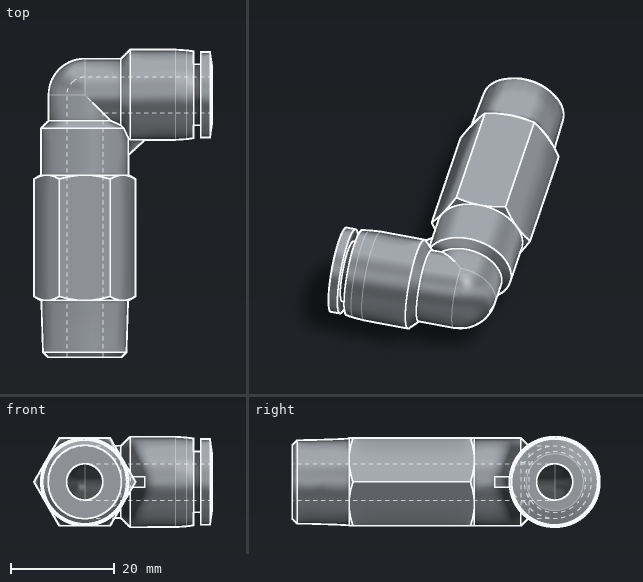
import cadquery as cq
import math


elbow_radius = 7.0
bore_radius = 3.5

stem_radius = 8.5
stem_step_start = 5.0
stem_step_end = stem_step_start + (stem_radius - elbow_radius)
hex_start = 15.5
hex_length = 24.2
hex_end = hex_start + hex_length
hex_across_flats = 17.0
hex_corner_radius = hex_across_flats / math.sqrt(3)
hex_chamfer_angle = math.radians(30)

thread_length = 11.0
thread_radius_taper = 1 / 32
thread_end = hex_end + thread_length
thread_large_radius = 8.4
thread_lead_length = 1.0
thread_taper_end = thread_end - thread_lead_length
thread_small_radius = thread_large_radius - (thread_taper_end - hex_end) * thread_radius_taper
thread_tip_radius = thread_small_radius - thread_lead_length

socket_radius = 8.75
socket_cone_start = elbow_radius
socket_cone_end = socket_cone_start + (socket_radius - elbow_radius)
socket_barrel_end = 17.5
socket_taper_end = 19.65
socket_taper_radius = 8.6
socket_end = 21.05
socket_end_radius = 8.4

neck_radius = 5.9
flange_start = 22.4
flange_radius = 8.3
flange_cone_start = 24.2
flange_end = 24.6
flange_face_radius = 5.5

gusset_thickness = 2.0
gusset_reach = 11.6
gusset_drop = 11.6


def revolve_about_y(profile):
    """Solid of revolution about Y from (radius, distance along -Y) points."""
    points = [(radius, -station) for radius, station in profile]
    return cq.Workplane("XY").polyline(points).close().revolve(360, (0, 0, 0), (0, 1, 0))


def revolve_about_x(profile):
    """Solid of revolution about X from (distance along +X, radius) points."""
    return cq.Workplane("XY").polyline(profile).close().revolve(360, (0, 0, 0), (1, 0, 0))


def make_elbow_ball():
    return cq.Workplane("XY").sphere(elbow_radius)


def make_stem():
    return revolve_about_y([
        (0, 0),
        (elbow_radius, 0),
        (elbow_radius, stem_step_start),
        (stem_radius, stem_step_end),
        (stem_radius, hex_end),
        (thread_large_radius, hex_end),
        (thread_small_radius, thread_taper_end),
        (thread_tip_radius, thread_end),
        (0, thread_end),
    ])


def make_hex():
    """Hexagon with corners on +X and -X, both ends turned down to the stem radius."""
    prism = (
        cq.Workplane("XZ", origin=(0, -hex_start, 0))
        .polygon(6, 2 * hex_corner_radius)
        .extrude(hex_length)
    )
    chamfer_depth = (hex_corner_radius - stem_radius) * math.tan(hex_chamfer_angle)
    envelope = revolve_about_y([
        (0, hex_start),
        (stem_radius, hex_start),
        (hex_corner_radius, hex_start + chamfer_depth),
        (hex_corner_radius, hex_end - chamfer_depth),
        (stem_radius, hex_end),
        (0, hex_end),
    ])
    return prism.intersect(envelope)


def make_socket():
    return revolve_about_x([
        (0, 0),
        (0, elbow_radius),
        (socket_cone_start, elbow_radius),
        (socket_cone_end, socket_radius),
        (socket_barrel_end, socket_radius),
        (socket_taper_end, socket_taper_radius),
        (socket_end, socket_end_radius),
        (socket_end, neck_radius),
        (flange_start, neck_radius),
        (flange_start, flange_radius),
        (flange_cone_start, flange_radius),
        (flange_end, flange_face_radius),
        (flange_end, 0),
    ])


def make_gusset():
    """Flat web with a sloping edge, rooted inside both arms."""
    root_x = stem_radius / 2
    root_y = -socket_radius / 2
    return (
        cq.Workplane("XY")
        .polyline([
            (root_x, root_y),
            (gusset_reach, root_y),
            (gusset_reach, -socket_radius),
            (stem_radius, -gusset_drop),
            (root_x, -gusset_drop),
        ])
        .close()
        .extrude(gusset_thickness / 2, both=True)
    )


def make_passage():
    """Bore through both arms, rounded by a ball at the corner."""
    stem_bore = cq.Workplane("XZ").circle(bore_radius).extrude(thread_end)
    socket_bore = cq.Workplane("YZ").circle(bore_radius).extrude(flange_end)
    corner = cq.Workplane("XY").sphere(bore_radius)
    return stem_bore.union(socket_bore).union(corner)


body = make_elbow_ball().union(make_stem()).union(make_socket())
body = body.union(make_hex()).union(make_gusset())
result = body.cut(make_passage())